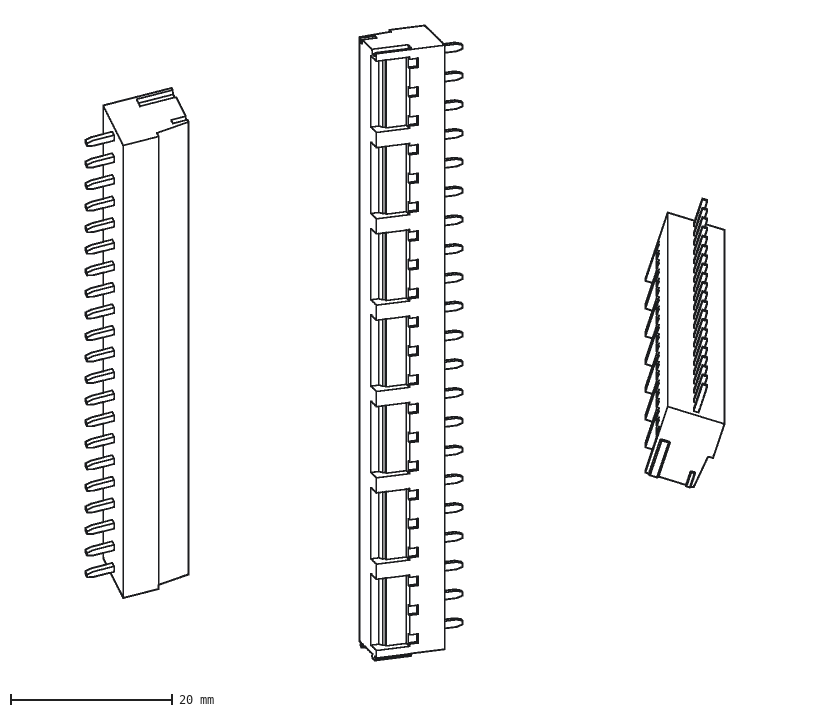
import cadquery as cq

body_width = 7.4
body_depth = 9.0
body_height = 80.0
overall_depth = 12.6
overall_height = 80.6

back_width = 6.3
shelf_inner_width = 6.8
shelf_depth = 4.35

pin_count = 21
pin_span = 76.2
pin_pitch = pin_span / (pin_count - 1)
first_pin_z = (body_height - pin_span) / 2
pin_center_x = body_width / 2
pin_width = 0.65
pin_thickness = 1.0
pin_tip_thickness = 0.5
pin_tip_length = 0.8

pins_per_window = 3
window_count = pin_count // pins_per_window
window_pitch = pins_per_window * pin_pitch
window_height = 9.4
first_window_z = first_pin_z + (pins_per_window - 1) / 2 * pin_pitch
window_end = shelf_depth
window_floor = 1.1
window_step_floor = 1.45
window_deep_floor = 2.0
window_step = 1.7
window_ramp_start = 1.4
window_ramp_end = 1.05

notch_end = 5.5
notch_depth = 0.5
notch_height = 1.2

key_height = overall_height - body_height
key_waist = 0.3
large_key_x = 1.05
large_key_depth = 4.75
large_key_width = 1.3
large_key_root_width = 0.9
small_key_x = 5.55
small_key_depth = 1.9
small_key_width = 0.65
small_key_root_width = 0.4


def make_body():
    outline = [
        (0, 0),
        (back_width, 0),
        (shelf_inner_width, -shelf_depth),
        (body_width, -shelf_depth),
        (body_width, -body_depth),
        (0, -body_depth),
    ]
    return cq.Workplane("XY").polyline(outline).close().extrude(body_height)


def make_pin(z):
    """Contact with a tip that tapers in Z; its root touches the front face."""
    half = pin_thickness / 2
    half_tip = pin_tip_thickness / 2
    tip_y = -overall_depth
    taper_y = tip_y + pin_tip_length
    outline = [
        (-body_depth, z - half),
        (taper_y, z - half),
        (tip_y, z - half_tip),
        (tip_y, z + half_tip),
        (taper_y, z + half),
        (-body_depth, z + half),
    ]
    pin = cq.Workplane("YZ").polyline(outline).close().extrude(pin_width)
    return pin.translate((pin_center_x - pin_width / 2, 0, 0))


def make_notch(z):
    """Rectangular recess that continues a window towards the front face."""
    length = notch_end - window_end
    recess = cq.Workplane("XY").box(notch_depth, length, notch_height, centered=(False, False, True))
    return recess.translate((0, -notch_end, z))


def make_window(z):
    """Stepped pocket, open to the left and to the back."""
    outline = [
        (0, 0),
        (window_deep_floor, 0),
        (window_deep_floor, -window_ramp_end),
        (window_step_floor, -window_ramp_start),
        (window_step_floor, -window_step),
        (window_floor, -window_step),
        (window_floor, -window_end),
        (0, -window_end),
    ]
    pocket = cq.Workplane("XY").polyline(outline).close().extrude(window_height)
    return pocket.translate((0, 0, z - window_height / 2))


def make_key(center_x, depth, width, root_width):
    """Bar below Z = 0 that runs forwards from the back face and is widest at key_waist."""
    outline = [
        (center_x - root_width / 2, 0),
        (center_x - width / 2, -key_waist),
        (center_x - root_width / 2, -key_height),
        (center_x + root_width / 2, -key_height),
        (center_x + width / 2, -key_waist),
        (center_x + root_width / 2, 0),
    ]
    return cq.Workplane("XZ").polyline(outline).close().extrude(depth)


def make_groove(center_x, depth, width, root_width):
    """Groove as wide as the key at its mouth and as wide as the root of the key at its floor."""
    floor_z = body_height - key_height
    outline = [
        (center_x - width / 2, body_height),
        (center_x - root_width / 2, floor_z),
        (center_x + root_width / 2, floor_z),
        (center_x + width / 2, body_height),
    ]
    return cq.Workplane("XZ").polyline(outline).close().extrude(depth)


result = make_body()

for index in range(window_count):
    result = result.cut(make_window(first_window_z + index * window_pitch))

for index in range(pin_count):
    pin_z = first_pin_z + index * pin_pitch
    result = result.cut(make_notch(pin_z)).union(make_pin(pin_z))

large_key = (large_key_x, large_key_depth, large_key_width, large_key_root_width)
small_key = (small_key_x, small_key_depth, small_key_width, small_key_root_width)
for key_sizes in (large_key, small_key):
    result = result.cut(make_groove(*key_sizes)).union(make_key(*key_sizes))